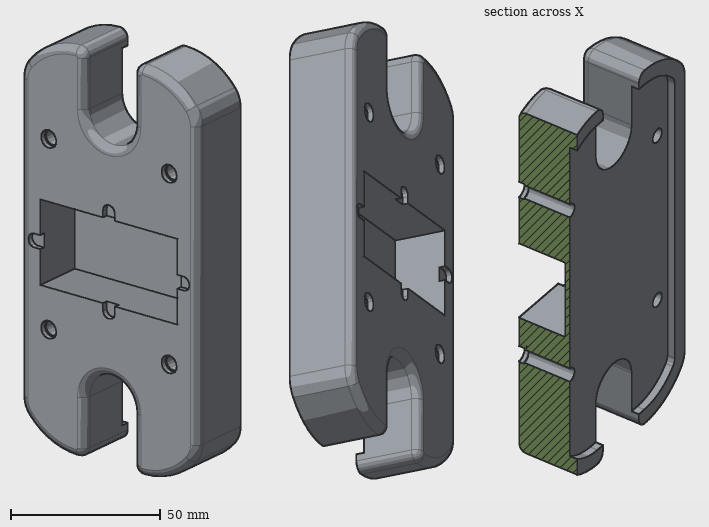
import cadquery as cq
WIDTH = 75.0
THICKNESS = 23.8
HEIGHT = 148.0

SHOULDER_RADIUS = 28.0
SHOULDER_CENTER_X = 13.8
SIDE_CORNER_RADIUS = 10.4
SLOT_WIDTH = 21.0
SLOT_CENTER_Z = 52.0
SLOT_CORNER_RADIUS = 3.5
FRONT_EDGE_RADIUS = 3.0

RECESS_DEPTH = 3.0
RECESS_WALL = 5.9

POCKET_WIDTH = 58.3
POCKET_HEIGHT = 31.0
POCKET_FLOOR = 2.0
NOTCH_WIDTH = 5.0
NOTCH_REACH = 5.0
NOTCH_DEPTH = 2.0

HOLE_DIAMETER = 5.3
COUNTERBORE_DIAMETER = 6.4
COUNTERBORE_DEPTH = 2.0
HOLE_SPACING_X = 51.2
HOLE_SPACING_Z = 68.8
HOLE_PATTERN_Z = 3.7


def front_plane():
    """Sketch plane on the front face, facing +Y into the part; local x is -X."""
    return cq.Workplane(cq.Plane((0, 0, 0), xDir=(-1, 0, 0), normal=(0, 1, 0)))


def rounded_plate():
    """Plate with arched shoulders at its four corners and rounded side corners."""
    half_width = WIDTH / 2
    half_height = HEIGHT / 2
    arc_center_z = half_height - SHOULDER_RADIUS
    arc_half_chord = half_width - SHOULDER_CENTER_X
    side_z = arc_center_z + (SHOULDER_RADIUS**2 - arc_half_chord**2) ** 0.5
    plate = (
        front_plane()
        .moveTo(half_width, -side_z)
        .lineTo(half_width, side_z)
        .radiusArc((SHOULDER_CENTER_X, half_height), -SHOULDER_RADIUS)
        .lineTo(-SHOULDER_CENTER_X, half_height)
        .radiusArc((-half_width, side_z), -SHOULDER_RADIUS)
        .lineTo(-half_width, -side_z)
        .radiusArc((-SHOULDER_CENTER_X, -half_height), -SHOULDER_RADIUS)
        .lineTo(SHOULDER_CENTER_X, -half_height)
        .radiusArc((half_width, -side_z), -SHOULDER_RADIUS)
        .close()
        .extrude(THICKNESS)
    )
    return plate.edges("|Y").edges("<X or >X").fillet(SIDE_CORNER_RADIUS)


def end_slots():
    """Two U-shaped slots, open at the top and bottom ends."""
    reach = HEIGHT / 2
    center_z = SLOT_CENTER_Z + reach / 2
    return (
        front_plane()
        .pushPoints([(0, center_z), (0, -center_z)])
        .slot2D(reach + SLOT_WIDTH, SLOT_WIDTH, 90)
        .extrude(THICKNESS)
    )


def back_recess(plate):
    """Shallow recess that follows the plate outline inside a constant wall."""
    outline = plate.faces(">Y").wires().val().offset2D(-RECESS_WALL)[0]
    return cq.Workplane(cq.Solid.extrudeLinear(outline, [], cq.Vector(0, -RECESS_DEPTH, 0)))


def pocket():
    """Pocket that leaves a thin floor in front of the back recess."""
    depth = THICKNESS - RECESS_DEPTH - POCKET_FLOOR
    return front_plane().rect(POCKET_WIDTH, POCKET_HEIGHT).extrude(depth)


def finger_notches():
    """Shallow crossed slots whose round ends reach past the four pocket sides."""
    across = POCKET_WIDTH + 2 * NOTCH_REACH
    along = POCKET_HEIGHT + 2 * NOTCH_REACH
    horizontal = front_plane().slot2D(across, NOTCH_WIDTH).extrude(NOTCH_DEPTH)
    vertical = front_plane().slot2D(along, NOTCH_WIDTH, 90).extrude(NOTCH_DEPTH)
    return horizontal.union(vertical)


def screw_holes():
    """Through holes with a shallow counterbore at the front face."""
    pattern = front_plane().center(0, HOLE_PATTERN_Z).rarray(HOLE_SPACING_X, HOLE_SPACING_Z, 2, 2)
    holes = pattern.circle(HOLE_DIAMETER / 2).extrude(THICKNESS)
    counterbores = pattern.circle(COUNTERBORE_DIAMETER / 2).extrude(COUNTERBORE_DEPTH)
    return holes.union(counterbores)


def slotted_body(plate):
    """Plate with its end slots cut, slot mouths rounded and front edges rounded over."""
    body = plate.cut(end_slots())
    body = body.edges("|Y").edges("<Z or >Z").fillet(SLOT_CORNER_RADIUS)
    return body.faces("<Y").edges().fillet(FRONT_EDGE_RADIUS)


plate = rounded_plate()
result = (
    slotted_body(plate)
    .cut(back_recess(plate))
    .cut(pocket())
    .cut(finger_notches())
    .cut(screw_holes())
)